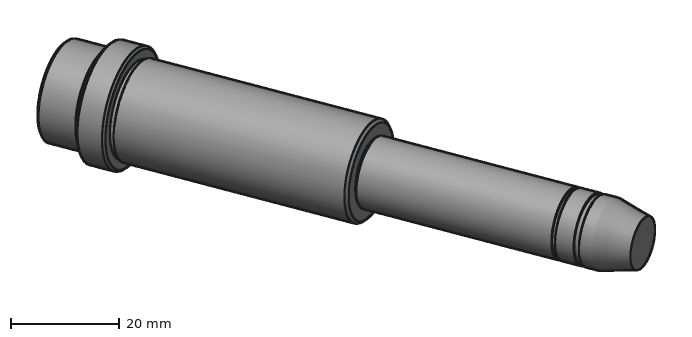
import cadquery as cq

flange_start = 9.0
flange_end = 15.0
sleeve_end = 64.1
taper_start = 113.0
total_length = 120.0

body_diameter = 20.0
flange_diameter = 24.0
pin_diameter = 14.0
tip_diameter = 10.3

head_chamfer = 0.5
flange_chamfer = 0.5
sleeve_chamfer = 0.6

relief_width = 1.0
relief_depth = 0.4

pin_groove_depth = 0.3
pin_grooves = [(sleeve_end, 0.4), (104.6, 0.7), (109.2, 1.1)]


def cylinder(start, end, diameter):
    """Solid cylinder about the X axis between two stations."""
    return cq.Workplane("YZ", origin=(start, 0, 0)).circle(diameter / 2).extrude(end - start)


def cut_groove(body, start, width, diameter, depth):
    """Cut a square groove of the given depth around a cylinder."""
    end = start + width
    ring = cylinder(start, end, diameter).cut(cylinder(start, end, diameter - 2 * depth))
    return body.cut(ring)


body = cylinder(0, sleeve_end, body_diameter)
body = body.faces("<X").chamfer(head_chamfer)
body = body.faces(">X").chamfer(sleeve_chamfer)
for relief_start in (flange_start - relief_width, flange_end):
    body = cut_groove(body, relief_start, relief_width, body_diameter, relief_depth)

flange = cylinder(flange_start, flange_end, flange_diameter).edges().chamfer(flange_chamfer)

pin_blank = cylinder(sleeve_end, taper_start, pin_diameter)
tip = (
    cq.Workplane("XY")
    .moveTo(taper_start, 0)
    .lineTo(taper_start, pin_diameter / 2)
    .lineTo(total_length, tip_diameter / 2)
    .lineTo(total_length, 0)
    .close()
    .revolve(360, (0, 0, 0), (1, 0, 0))
)
pin = pin_blank.union(tip)
for groove_start, groove_width in pin_grooves:
    pin = cut_groove(pin, groove_start, groove_width, pin_diameter, pin_groove_depth)

result = body.union(flange).union(pin)